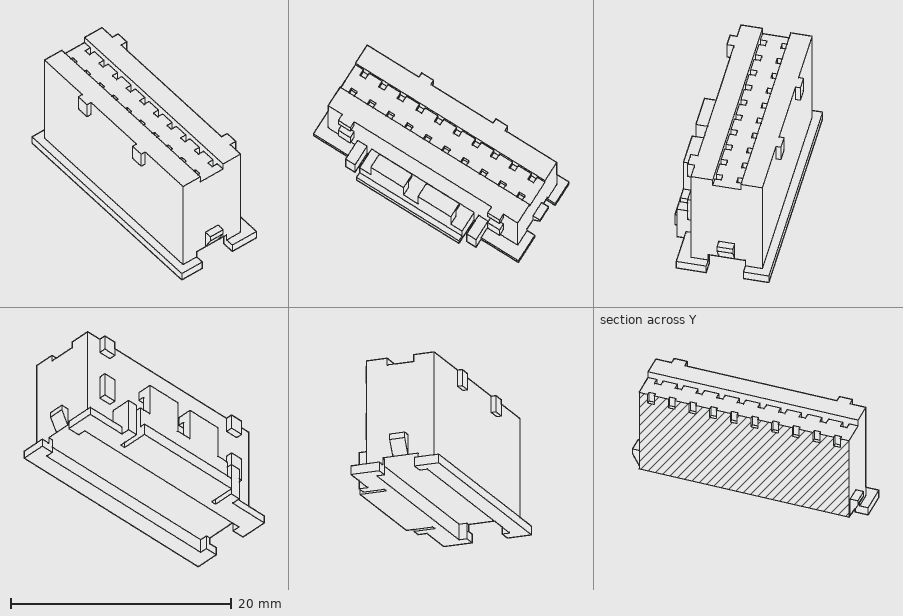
import cadquery as cq

body_width = 20.35
body_height = 11.0
body_front = 0.8
body_depth = 6.65
body_back = body_front + body_depth

flange_width = 22.0
flange_thickness = 0.84
back_flange_end = 8.62

recess_end_wall = 0.45
recess_side_wall = 0.84
channel_front = 2.38
channel_back = 5.83
channel_height = 1.5

groove_front = 2.8
groove_back = 5.41
groove_depth = 0.65
pocket_count = 10
pocket_pitch = 2.0
pocket_width = 0.62
pocket_length = 0.6
pocket_depth = 1.0

rib_width = 1.28
rib_height = 1.56
front_rib_offset = 3.98
front_rib_depth = 0.46
back_rib_offset = 8.0
back_rib_depth = 0.65
lower_rib_bottom = 4.0
lower_rib_top = 6.51

hook_reach = 0.75
hook_front = 3.37
hook_width = 1.47
hook_bottom = channel_height
hook_edge = 2.88
hook_top = 3.4

latch_back = 9.48
latch_width = 11.0
latch_base_height = 3.48
lip_back = 10.0
lip_height = 1.23
arm_width = 3.52
arm_offset = 2.53
arm_inner_face = back_flange_end
arm_tip = 8.03
arm_top = 6.85
arm_tip_bottom = 5.95
post_inner = 5.98
post_outer = 7.0


def block(x_range, y_range, z_range):
    """Box spanning the given (low, high) ranges along X, Y and Z."""
    (x0, x1), (y0, y1), (z0, z1) = x_range, y_range, z_range
    return cq.Workplane("XY").box(x1 - x0, y1 - y0, z1 - z0, centered=False).translate((x0, y0, z0))


def centred(width, centre=0.0):
    """(low, high) range of the given width about a centre."""
    return (centre - width / 2, centre + width / 2)


def mirrored_pair(solid):
    """The solid together with its mirror image across the X = 0 plane."""
    return solid.union(solid.mirror("YZ"))


def make_body():
    body = block(centred(body_width), (body_front, body_back), (0, body_height))
    front_flange = block(centred(flange_width), (0, channel_front), (0, flange_thickness))
    back_flange = block(
        (post_inner, flange_width / 2), (channel_back, back_flange_end), (0, flange_thickness)
    )
    body = body.union(front_flange).union(mirrored_pair(back_flange))
    channel = block(centred(flange_width), (channel_front, channel_back), (0, channel_height))
    recess = block(
        centred(body_width - 2 * recess_end_wall),
        (body_front + recess_side_wall, body_back - recess_side_wall),
        (0, channel_height),
    )
    groove = block(
        centred(body_width), (groove_front, groove_back), (body_height - groove_depth, body_height)
    )
    return body.cut(channel).cut(recess).cut(groove)


def make_pockets():
    floor = body_height - groove_depth
    pockets = cq.Workplane("XY")
    for index in range(pocket_count):
        x_centre = (index - (pocket_count - 1) / 2) * pocket_pitch
        for y_start in (groove_front, groove_back - pocket_length):
            pocket = block(
                centred(pocket_width, x_centre),
                (y_start, y_start + pocket_length),
                (floor - pocket_depth, floor),
            )
            pockets = pockets.add(pocket)
    return pockets.combine()


def make_ribs():
    rib_heights = (body_height - rib_height, body_height)
    front_rib = block(
        centred(rib_width, front_rib_offset), (body_front - front_rib_depth, body_front), rib_heights
    )
    ribs = mirrored_pair(front_rib)
    for heights in (rib_heights, (lower_rib_bottom, lower_rib_top)):
        back_rib = block(
            centred(rib_width, back_rib_offset), (body_back, body_back + back_rib_depth), heights
        )
        ribs = ribs.union(mirrored_pair(back_rib))
    return ribs


def make_snap_hooks():
    root = body_width / 2
    tip = root + hook_reach
    profile = [(root, hook_bottom), (tip, hook_edge), (tip, hook_top), (root, hook_top)]
    hook = cq.Workplane("XZ", origin=(0, hook_front, 0)).polyline(profile).close().extrude(-hook_width)
    return mirrored_pair(hook)


def make_latch():
    base = block(centred(latch_width), (body_back, latch_back), (0, latch_base_height))
    lip = block(centred(latch_width), (latch_back, lip_back), (0, lip_height))
    post = block((post_inner, post_outer), (body_back, latch_back), (0, latch_base_height))
    arm_x = centred(arm_width, arm_offset)
    arm = block(arm_x, (arm_inner_face, latch_back), (latch_base_height, arm_top))
    arm_hook = block(arm_x, (arm_tip, arm_inner_face), (arm_tip_bottom, arm_top))
    return base.union(lip).union(mirrored_pair(post)).union(mirrored_pair(arm.union(arm_hook)))


result = make_body().cut(make_pockets()).union(make_ribs()).union(make_snap_hooks()).union(make_latch())